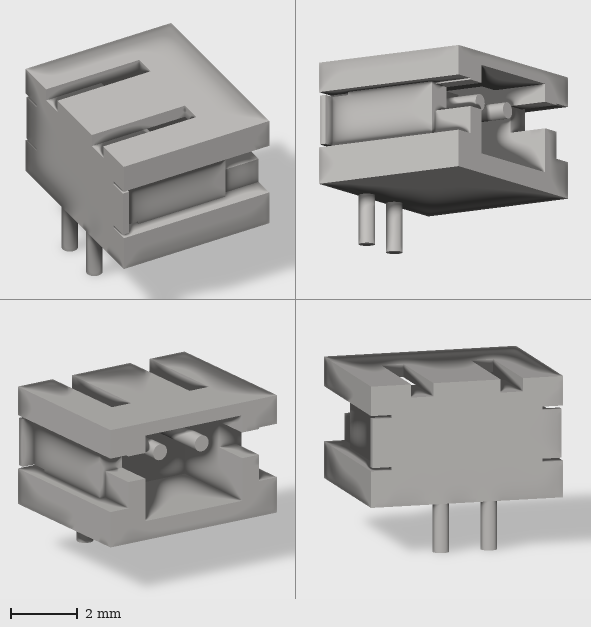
import cadquery as cq

body_width = 6.0
body_depth = 5.0
body_height = 3.7
mid_x = body_width / 2

flange_bottom_top = 1.115
flange_top_bottom = 2.8
recess_depth = 0.45
rear_recess_depth = 0.65
rear_recess_start = 3.75

ear_inset = 0.05
ear_thickness = 0.2
notch_height = 0.095
notch_length = 0.75

cavity_roof = 0.4
cavity_floor = 0.6
cavity_start = 1.895

window_bottom = 1.945
window_top = 2.755

slot_width = 0.695
slot_inset = 1.255
slot_length = 3.2

pin_diameter = 0.5
pin_radius = pin_diameter / 2
pin_pitch = 1.5
pin_tip_y = 4.3
pin_height = 2.4
pin_tail = 1.5


def box(x_range, y_range, z_range):
    """Axis-aligned box given by its limits along each axis."""
    (x0, x1), (y0, y1), (z0, z1) = x_range, y_range, z_range
    return cq.Workplane("XY").box(x1 - x0, y1 - y0, z1 - z0, centered=False).translate((x0, y0, z0))


def side_recess():
    """Material removed from the -X side, between the flanges."""
    recess_z = (flange_bottom_top, flange_top_bottom)
    ear_z = (flange_bottom_top + notch_height, flange_top_bottom - notch_height)
    recess = box((0, recess_depth), (0, body_depth), recess_z)
    recess = recess.cut(box((ear_inset, recess_depth), (0, ear_thickness), ear_z))
    recess = recess.union(box((0, rear_recess_depth), (rear_recess_start, body_depth), recess_z))
    for z_range in ((recess_z[0], ear_z[0]), (ear_z[1], recess_z[1])):
        recess = recess.union(box((0, rear_recess_depth), (0, notch_length), z_range))
    return recess


def contact_pin(x):
    """Bent round pin: horizontal contact in the cavity, vertical tail below the body."""
    contact = (
        cq.Workplane("XZ", origin=(x, pin_tip_y, pin_height))
        .circle(pin_radius)
        .extrude(pin_tip_y - pin_radius)
    )
    tail = (
        cq.Workplane("XY", origin=(x, pin_radius, -pin_tail))
        .circle(pin_radius)
        .extrude(pin_tail + pin_height)
    )
    return contact.union(tail)


result = box((0, body_width), (0, body_depth), (0, body_height))

left_recess = side_recess()
right_recess = left_recess.mirror("YZ").translate((body_width, 0, 0))
result = result.cut(left_recess).cut(right_recess)

result = result.cut(
    box(
        (slot_inset, body_width - slot_inset),
        (cavity_start, body_depth),
        (cavity_floor, body_height - cavity_roof),
    )
)
result = result.cut(
    box(
        (rear_recess_depth, body_width - rear_recess_depth),
        (rear_recess_start, body_depth),
        (window_bottom, window_top),
    )
)

for slot_x in (slot_inset, body_width - slot_inset - slot_width):
    result = result.cut(
        box(
            (slot_x, slot_x + slot_width),
            (0, slot_length),
            (body_height - cavity_roof, body_height),
        )
    )

for pin_x in (mid_x - pin_pitch / 2, mid_x + pin_pitch / 2):
    result = result.union(contact_pin(pin_x))